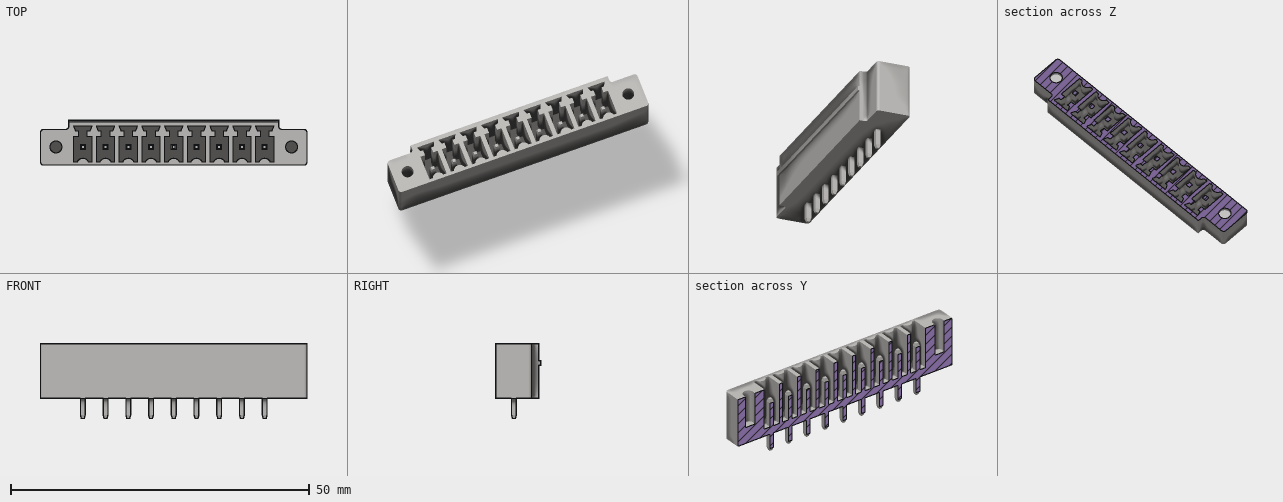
import cadquery as cq

POLES = 9
PITCH = 3.81

LENGTH = 44.68
HEIGHT = 9.2
DEPTH = 7.25
FRONT_Y = -3.05
BACK_Y = FRONT_Y + DEPTH
CENTRE_LENGTH = 35.25
FLANGE_STEP = 1.25
FLANGE_BACK_Y = BACK_Y - FLANGE_STEP
CORNER_RADIUS = 0.5

RIB_HEIGHT = 0.8
RIB_PROJECTION = 0.3
RIB_DROP = 3.25
RIB_CENTRE_Z = HEIGHT - RIB_DROP

CAVITY_FLOOR_Z = 1.5
CAVITY_HALF_WIDTH = 1.53
CAVITY_FRONT_Y = -2.56
CAVITY_BACK_Y = 3.47
NECK_HALF_WIDTH = 0.72
NECK_FRONT_Y = 1.73
NECK_BACK_Y = 2.68
DOVETAIL_HALF_WIDTH = 1.2
HUMP_HALF_WIDTH = 0.95
HUMP_HEIGHT = 0.67

PIN_WIDTH = 0.84
PIN_TIP_WIDTH = 0.5
PIN_TIP_LENGTH = 0.6
PIN_TAIL = 3.4
PIN_TOP_DROP = 2.5
PIN_TOP_Z = HEIGHT - PIN_TOP_DROP

BUSHING_DIAMETER = 4.0
BUSHING_BORE = 2.0
BUSHING_DEPTH = 6.0
BUSHING_EDGE_DISTANCE = 2.6

pole_points = [((i - (POLES - 1) / 2) * PITCH, 0) for i in range(POLES)]
bushing_x = LENGTH / 2 - BUSHING_EDGE_DISTANCE
bushing_points = [(-bushing_x, 0), (bushing_x, 0)]


def make_housing():
    """Flanged block with a deeper centre section and rounded upright edges."""
    half_length = LENGTH / 2
    half_centre = CENTRE_LENGTH / 2
    block = (
        cq.Workplane("XY")
        .moveTo(-half_length, FRONT_Y)
        .lineTo(half_length, FRONT_Y)
        .lineTo(half_length, FLANGE_BACK_Y)
        .lineTo(half_centre, FLANGE_BACK_Y)
        .lineTo(half_centre, BACK_Y)
        .lineTo(-half_centre, BACK_Y)
        .lineTo(-half_centre, FLANGE_BACK_Y)
        .lineTo(-half_length, FLANGE_BACK_Y)
        .close()
        .extrude(HEIGHT)
    )
    flange_edges = cq.selectors.BoxSelector(
        (-LENGTH, FRONT_Y - CORNER_RADIUS, 0),
        (LENGTH, FLANGE_BACK_Y + CORNER_RADIUS, HEIGHT),
    )
    return block.edges("|Z").edges(flange_edges).fillet(CORNER_RADIUS)


def make_rib():
    """Latching rib, sunk into the back wall so that it fuses with the housing."""
    rib_depth = RIB_PROJECTION + (BACK_Y - CAVITY_BACK_Y) / 2
    rib_centre_y = BACK_Y + RIB_PROJECTION - rib_depth / 2
    return (
        cq.Workplane("XY")
        .box(CENTRE_LENGTH, rib_depth, RIB_HEIGHT)
        .translate((0, rib_centre_y, RIB_CENTRE_Z))
    )


def make_cavities():
    """Keyed plug cavities: a coding hump in front, a neck and a dovetail behind."""
    right_side = [
        (CAVITY_HALF_WIDTH, CAVITY_FRONT_Y),
        (CAVITY_HALF_WIDTH, NECK_FRONT_Y),
        (NECK_HALF_WIDTH, NECK_FRONT_Y),
        (NECK_HALF_WIDTH, NECK_BACK_Y),
        (DOVETAIL_HALF_WIDTH, NECK_BACK_Y),
        (CAVITY_HALF_WIDTH, CAVITY_BACK_Y),
    ]
    left_side = [(-x, y) for x, y in reversed(right_side)]
    hump_left = (-HUMP_HALF_WIDTH, CAVITY_FRONT_Y)
    hump_crest = (0, CAVITY_FRONT_Y + HUMP_HEIGHT)
    hump_right = (HUMP_HALF_WIDTH, CAVITY_FRONT_Y)
    cavity = (
        cq.Workplane("XY", origin=(0, 0, CAVITY_FLOOR_Z))
        .polyline([hump_right] + right_side + left_side + [hump_left])
        .threePointArc(hump_crest, hump_right)
        .close()
        .extrude(HEIGHT - CAVITY_FLOOR_Z)
    )
    cavities = cq.Workplane("XY")
    for x, y in pole_points:
        cavities = cavities.add(cavity.translate((x, y, 0)))
    return cavities.combine()


def make_pins():
    """Square pins with a tapered tip at both ends."""
    shaft_bottom_z = PIN_TIP_LENGTH - PIN_TAIL
    shaft_top_z = PIN_TOP_Z - PIN_TIP_LENGTH
    pins = (
        cq.Workplane("XY", origin=(0, 0, shaft_bottom_z))
        .pushPoints(pole_points)
        .rect(PIN_WIDTH, PIN_WIDTH)
        .extrude(shaft_top_z - shaft_bottom_z)
    )
    for base_z, direction in ((shaft_bottom_z, -1), (shaft_top_z, 1)):
        tip = (
            cq.Workplane("XY", origin=(0, 0, base_z))
            .rect(PIN_WIDTH, PIN_WIDTH)
            .workplane(offset=direction * PIN_TIP_LENGTH)
            .rect(PIN_TIP_WIDTH, PIN_TIP_WIDTH)
            .loft(ruled=True)
        )
        for x, y in pole_points:
            pins = pins.union(tip.translate((x, y, 0)))
    return pins


def make_bushing_cylinders(diameter):
    """One upright cylinder per flange, reaching down from the top face."""
    return (
        cq.Workplane("XY", origin=(0, 0, HEIGHT - BUSHING_DEPTH))
        .pushPoints(bushing_points)
        .circle(diameter / 2)
        .extrude(BUSHING_DEPTH)
    )


housing = make_housing().union(make_rib()).cut(make_cavities()).union(make_pins())

bushing_seats = make_bushing_cylinders(BUSHING_DIAMETER)
bushings = bushing_seats.cut(make_bushing_cylinders(BUSHING_BORE))
result = housing.cut(bushing_seats).union(bushings, clean=False)